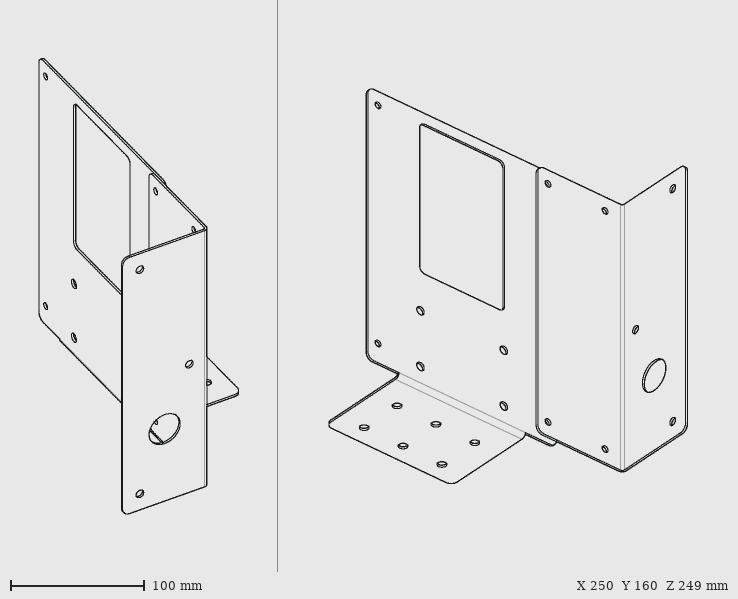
import cadquery as cq


SHEET_THICKNESS = 2.0
BEND_INNER_RADIUS = 2.0
BEND_OUTER_RADIUS = BEND_INNER_RADIUS + SHEET_THICKNESS
SHEET_CORNER_RADIUS = 6.0

PLATE_WIDTH = 185.0
PLATE_HEIGHT = 245.0
PLATE_CENTER_X = PLATE_WIDTH / 2

SHELF_WIDTH = 124.0
SHELF_DEPTH = 85.0
SHELF_BOTTOM_Z = -(PLATE_HEIGHT + BEND_OUTER_RADIUS)
SHELF_HOLE_DIAMETER = 7.3
SHELF_HOLE_PITCH = 38.1
SHELF_HOLE_BACK_MARGIN = 16.5

WINDOW_WIDTH = 83.0
WINDOW_HEIGHT = 135.3
WINDOW_TOP_MARGIN = 9.7
WINDOW_CORNER_RADIUS = 5.0

LOWER_HOLE_DIAMETER = 7.2
LOWER_HOLE_SPACING_X = 81.7
LOWER_HOLE_SPACING_Z = 50.4
LOWER_HOLE_CENTER_Z = -205.0

BRACKET_WIDTH = 85.0
BRACKET_DEPTH = 75.0
BRACKET_HEIGHT = 240.0
BRACKET_CENTER_Z = -BRACKET_HEIGHT / 2
OVERLAP = 20.0
BRACKET_LEFT_X = PLATE_WIDTH - OVERLAP
BRACKET_RIGHT_X = BRACKET_LEFT_X + BRACKET_WIDTH

FLANGE_HOLE_DIAMETER = 6.6
FLANGE_HOLE_MARGIN = 15.0
FLANGE_INNER_HOLE_Y = -17.0
FLANGE_OUTER_HOLE_Y = FLANGE_HOLE_MARGIN - BRACKET_DEPTH
FLANGE_TOP_HOLE_Z = -FLANGE_HOLE_MARGIN
FLANGE_BOTTOM_HOLE_Z = FLANGE_HOLE_MARGIN - BRACKET_HEIGHT
CABLE_HOLE_DIAMETER = 27.0
CABLE_HOLE_Y = (FLANGE_INNER_HOLE_Y + FLANGE_OUTER_HOLE_Y) / 2
CABLE_HOLE_Z = (BRACKET_CENTER_Z + FLANGE_BOTTOM_HOLE_Z) / 2

FASTENER_HOLE_DIAMETER = 5.5
FASTENER_EDGE_MARGIN = 10.0
FASTENER_SPACING_Z = 215.0
FASTENER_ROWS_Z = [BRACKET_CENTER_Z + side * FASTENER_SPACING_Z / 2 for side in (-1, 1)]
PLATE_FASTENER_COLUMNS_X = [FASTENER_EDGE_MARGIN, PLATE_WIDTH - FASTENER_EDGE_MARGIN]
BRACKET_OUTER_COLUMN_X = 231.0
BRACKET_FASTENER_COLUMNS_X = [BRACKET_LEFT_X + FASTENER_EDGE_MARGIN, BRACKET_OUTER_COLUMN_X]


def grid(columns, rows):
    """Every point where a column and a row cross."""
    return [(column, row) for column in columns for row in rows]


def holes(workplane, points, diameter, reach):
    """Round cutters centred on the workplane, reaching the same distance to both sides of it."""
    return workplane.pushPoints(points).circle(diameter / 2).extrude(reach, both=True)


def make_mounting_plate():
    sheet = (
        cq.Workplane("XZ")
        .rect(PLATE_WIDTH, PLATE_HEIGHT)
        .extrude(-SHEET_THICKNESS)
        .translate((PLATE_CENTER_X, 0, -PLATE_HEIGHT / 2))
        .edges("|Y")
        .fillet(SHEET_CORNER_RADIUS)
    )

    bend_top_z = -PLATE_HEIGHT
    bend_back_y = BEND_OUTER_RADIUS
    shelf_top_z = SHELF_BOTTOM_Z + SHEET_THICKNESS
    shelf = (
        cq.Workplane("YZ", origin=(PLATE_CENTER_X, 0, 0))
        .moveTo(0, bend_top_z)
        .radiusArc((bend_back_y, SHELF_BOTTOM_Z), -BEND_OUTER_RADIUS)
        .lineTo(SHELF_DEPTH, SHELF_BOTTOM_Z)
        .lineTo(SHELF_DEPTH, shelf_top_z)
        .lineTo(bend_back_y, shelf_top_z)
        .radiusArc((SHEET_THICKNESS, bend_top_z), BEND_INNER_RADIUS)
        .close()
        .extrude(SHELF_WIDTH / 2, both=True)
        .edges("|Z and >Y")
        .fillet(SHEET_CORNER_RADIUS)
    )

    window = (
        cq.Workplane("XZ")
        .rect(WINDOW_WIDTH, WINDOW_HEIGHT)
        .extrude(SHEET_THICKNESS, both=True)
        .translate((PLATE_CENTER_X, 0, -WINDOW_TOP_MARGIN - WINDOW_HEIGHT / 2))
        .edges("|Y")
        .fillet(WINDOW_CORNER_RADIUS)
    )

    fastener_points = grid(PLATE_FASTENER_COLUMNS_X, FASTENER_ROWS_Z)
    fastener_holes = holes(cq.Workplane("XZ"), fastener_points, FASTENER_HOLE_DIAMETER, SHEET_THICKNESS)

    lower_columns = [PLATE_CENTER_X + side * LOWER_HOLE_SPACING_X / 2 for side in (-1, 1)]
    lower_rows = [LOWER_HOLE_CENTER_Z + side * LOWER_HOLE_SPACING_Z / 2 for side in (-1, 1)]
    lower_points = grid(lower_columns, lower_rows)
    lower_holes = holes(cq.Workplane("XZ"), lower_points, LOWER_HOLE_DIAMETER, SHEET_THICKNESS)

    shelf_columns = [PLATE_CENTER_X + step * SHELF_HOLE_PITCH for step in (-1, 0, 1)]
    shelf_rows = [SHELF_DEPTH - SHELF_HOLE_BACK_MARGIN - step * SHELF_HOLE_PITCH for step in (0, 1)]
    shelf_plane = cq.Workplane("XY", origin=(0, 0, shelf_top_z))
    shelf_holes = holes(shelf_plane, grid(shelf_columns, shelf_rows), SHELF_HOLE_DIAMETER, SHEET_THICKNESS)

    plate = sheet.union(shelf)
    for cutter in (window, fastener_holes, lower_holes, shelf_holes):
        plate = plate.cut(cutter)
    return plate


def make_side_bracket():
    front_y = -SHEET_THICKNESS
    bend_y = -BEND_OUTER_RADIUS
    bend_x = BRACKET_RIGHT_X - BEND_OUTER_RADIUS
    flange_inner_x = BRACKET_RIGHT_X - SHEET_THICKNESS
    bracket = (
        cq.Workplane("XY")
        .moveTo(BRACKET_LEFT_X, 0)
        .lineTo(bend_x, 0)
        .radiusArc((BRACKET_RIGHT_X, bend_y), BEND_OUTER_RADIUS)
        .lineTo(BRACKET_RIGHT_X, -BRACKET_DEPTH)
        .lineTo(flange_inner_x, -BRACKET_DEPTH)
        .lineTo(flange_inner_x, bend_y)
        .radiusArc((bend_x, front_y), -BEND_INNER_RADIUS)
        .lineTo(BRACKET_LEFT_X, front_y)
        .close()
        .extrude(-BRACKET_HEIGHT)
    )
    bracket = bracket.edges("|Y and <X").fillet(SHEET_CORNER_RADIUS)
    bracket = bracket.edges("|X and <Y").fillet(SHEET_CORNER_RADIUS)

    fastener_points = grid(BRACKET_FASTENER_COLUMNS_X, FASTENER_ROWS_Z)
    fastener_holes = holes(cq.Workplane("XZ"), fastener_points, FASTENER_HOLE_DIAMETER, SHEET_THICKNESS)

    flange_plane = cq.Workplane("YZ", origin=(BRACKET_RIGHT_X, 0, 0))
    flange_points = [
        (FLANGE_OUTER_HOLE_Y, FLANGE_TOP_HOLE_Z),
        (FLANGE_INNER_HOLE_Y, BRACKET_CENTER_Z),
        (FLANGE_OUTER_HOLE_Y, FLANGE_BOTTOM_HOLE_Z),
    ]
    flange_holes = holes(flange_plane, flange_points, FLANGE_HOLE_DIAMETER, SHEET_THICKNESS)
    cable_hole = holes(flange_plane, [(CABLE_HOLE_Y, CABLE_HOLE_Z)], CABLE_HOLE_DIAMETER, SHEET_THICKNESS)

    for cutter in (fastener_holes, flange_holes, cable_hole):
        bracket = bracket.cut(cutter)
    return bracket


mounting_plate = make_mounting_plate()
side_bracket = make_side_bracket()

result = cq.Compound.makeCompound([mounting_plate.val(), side_bracket.val()])